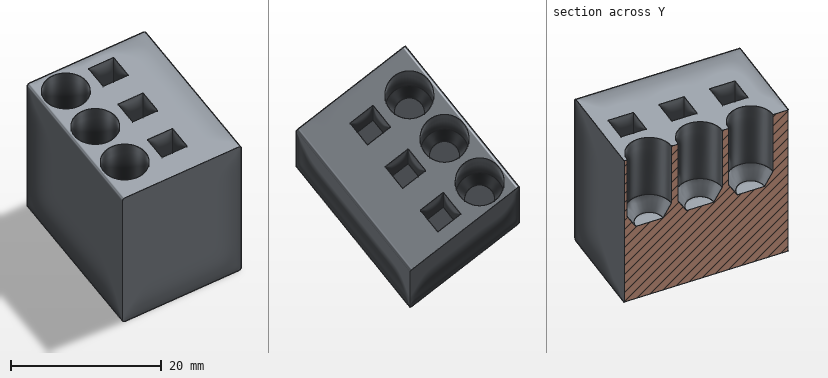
import cadquery as cq

LENGTH = 24.3
WIDTH = 18.5
HEIGHT = 24.15

POLE_COUNT = 3
POLE_PITCH = 7.5
FIRST_POLE_OFFSET = 3.75

ENTRY_OFFSET = 3.75
BORE_DIAMETER = 6.5
FLOOR_DIAMETER = 4.0
BORE_DEPTH = 9.72
FUNNEL_DEPTH = 2.07

EDGE_RADIUS = ENTRY_OFFSET - BORE_DIAMETER / 2

SLOT_OFFSET = 10.35
SLOT_LENGTH = 3.75
SLOT_WIDTH = 3.9
SLOT_DEPTH = 9.72


def make_body():
    """Block with its four edges along X rounded."""
    block = cq.Workplane("XY").box(LENGTH, WIDTH, HEIGHT, centered=(True, True, False))
    return block.edges("|X").fillet(EDGE_RADIUS)


def make_wire_entry(x, y):
    """Revolved cutter for one wire entry, opening at the top face."""
    funnel_top = HEIGHT - BORE_DEPTH
    floor = funnel_top - FUNNEL_DEPTH
    profile = (
        cq.Workplane("XZ")
        .moveTo(0, HEIGHT)
        .lineTo(BORE_DIAMETER / 2, HEIGHT)
        .lineTo(BORE_DIAMETER / 2, funnel_top)
        .lineTo(FLOOR_DIAMETER / 2, floor)
        .lineTo(0, floor)
        .close()
    )
    return profile.revolve(360, (0, 0), (0, 1)).translate((x, y, 0))


def make_release_slot(x, y):
    """Box cutter for one release slot, opening at the top face."""
    slot = cq.Workplane("XY").box(SLOT_LENGTH, SLOT_WIDTH, SLOT_DEPTH, centered=(True, True, False))
    return slot.translate((x, y, HEIGHT - SLOT_DEPTH))


result = make_body()
entry_y = ENTRY_OFFSET - WIDTH / 2
slot_y = SLOT_OFFSET - WIDTH / 2
for pole in range(POLE_COUNT):
    pole_x = FIRST_POLE_OFFSET + pole * POLE_PITCH - LENGTH / 2
    result = result.cut(make_wire_entry(pole_x, entry_y))
    result = result.cut(make_release_slot(pole_x, slot_y))